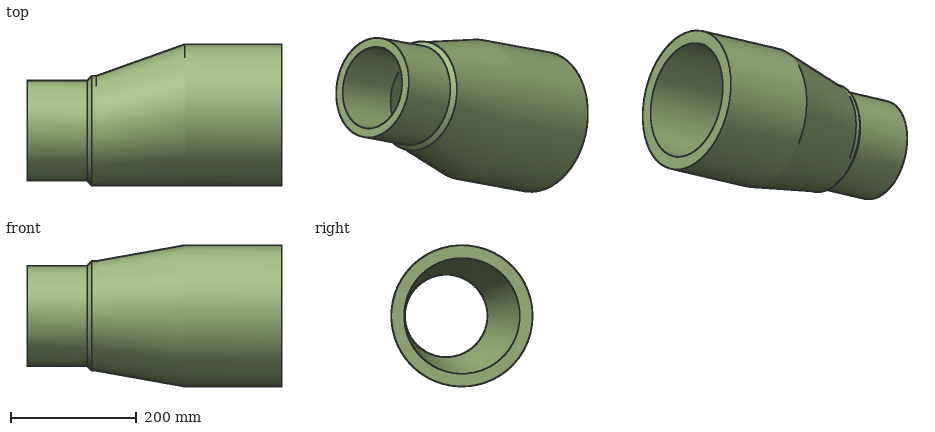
import cadquery as cq

length = 405.0
large_diameter = 225.0
small_diameter = 160.0
collar_diameter = 175.0
small_bore = 131.0
large_bore = large_diameter * small_bore / small_diameter

small_pipe_end = 95.5
collar_start = 103.0
cone_start = 110.0
cone_end = 250.5

small_axis_y = -(large_diameter - collar_diameter) / 2


def cylinder(start, end, diameter, axis_y):
    """Round bar along X between two stations."""
    plane = cq.Workplane("YZ", origin=(start, axis_y, 0))
    return plane.circle(diameter / 2).extrude(end - start)


def cone(start, end, start_diameter, end_diameter, start_y, end_y):
    """Straight loft along X between two circles whose centres may be offset in Y."""
    return (
        cq.Workplane("YZ", origin=(start, start_y, 0))
        .circle(start_diameter / 2)
        .workplane(offset=end - start)
        .center(end_y - start_y, 0)
        .circle(end_diameter / 2)
        .loft(ruled=True)
    )


small_pipe = cylinder(0, small_pipe_end, small_diameter, small_axis_y)
collar_chamfer = cone(
    small_pipe_end, collar_start, small_diameter, collar_diameter, small_axis_y, small_axis_y
)
collar = cylinder(collar_start, cone_start, collar_diameter, small_axis_y)
outer_cone = cone(cone_start, cone_end, collar_diameter, large_diameter, small_axis_y, 0)
large_pipe = cylinder(cone_end, length, large_diameter, 0)
body = small_pipe.union(collar_chamfer).union(collar).union(outer_cone).union(large_pipe)

small_passage = cylinder(0, cone_start, small_bore, small_axis_y)
tapered_passage = cone(cone_start, cone_end, small_bore, large_bore, small_axis_y, 0)
large_passage = cylinder(cone_end, length, large_bore, 0)

result = body.cut(small_passage).cut(tapered_passage).cut(large_passage)